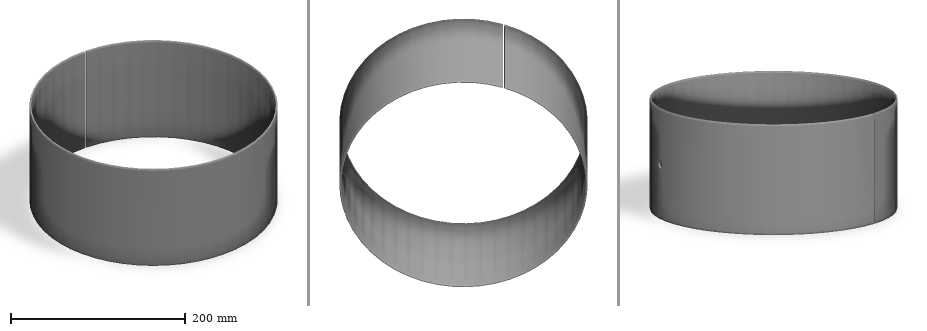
import cadquery as cq

outer_diameter = 285.0
height = 130.0
wall = 2.5
bevel_height = 1.7
bevel_depth = 0.63
slit_width = 2.3
slit_start_y = 0.3
hole_diameter = 10.0
hole_angle = 59.0

outer_radius = outer_diameter / 2
inner_radius = outer_radius - wall


def bevelled_ring():
    """Thin ring centred on the origin, bevelled outside and inside at both rims."""
    top = height / 2
    shoulder = top - bevel_height
    rim_outer_radius = outer_radius - bevel_depth
    rim_inner_radius = inner_radius + bevel_depth
    profile = [
        (rim_inner_radius, -top),
        (rim_outer_radius, -top),
        (outer_radius, -shoulder),
        (outer_radius, shoulder),
        (rim_outer_radius, top),
        (rim_inner_radius, top),
        (inner_radius, shoulder),
        (inner_radius, -shoulder),
    ]
    return cq.Workplane("XZ").polyline(profile).close().revolve(360, (0, 0), (0, 1))


def slit_cutter():
    """Block that splits the wall over its full height on the -X side."""
    slit_y = slit_start_y + slit_width / 2
    block = cq.Workplane("XY").box(outer_radius, slit_width, height)
    return block.translate((-outer_radius, slit_y, 0))


def hole_cutter():
    """Radial cylinder that pierces the wall once, at mid height."""
    cylinder = cq.Workplane("YZ").circle(hole_diameter / 2).extrude(outer_diameter)
    return cylinder.rotate((0, 0, 0), (0, 0, 1), hole_angle)


result = bevelled_ring().cut(slit_cutter()).cut(hole_cutter())